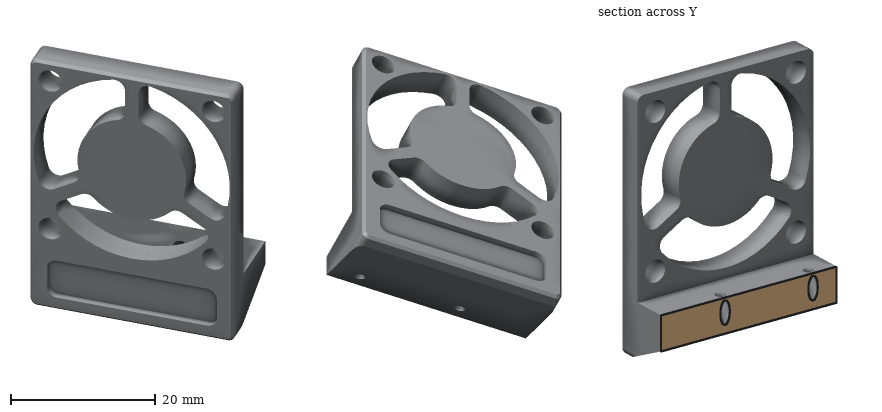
import cadquery as cq
import math

plate_width = 30.0
plate_height = 40.0
plate_thickness = 4.0
corner_radius = 1.0
front_chamfer = 0.4

foot_reach = 9.0
foot_top = 9.0
underside_angle = 25.0
part_depth = plate_thickness + foot_reach
foot_end_bottom = corner_radius + foot_reach * math.tan(math.radians(underside_angle))

fan_center_z = plate_height - plate_width / 2
fan_radius = 14.4
hub_radius = 8.0
spoke_width = 2.0
spoke_count = 3
window_fillet = 1.5

fan_hole_diameter = 3.4
fan_hole_spacing = 24.0

pocket_width = 25.0
pocket_height = 6.0
pocket_bottom = 2.0
pocket_depth = 1.0
pocket_radius = 1.5

mount_hole_diameter = 1.5
mount_hole_left_margin = 4.0
mount_hole_pitch = 15.0
mount_hole_setback = 4.7


def front_plane(center_z):
    """Sketch plane on the front face; its normal points out of the part, toward -Y."""
    return cq.Workplane("XZ", origin=(0, 0, center_z))


def make_plate():
    plate = front_plane(plate_height / 2).rect(plate_width, plate_height).extrude(-plate_thickness)
    plate = plate.edges("|Y").fillet(corner_radius)
    return plate.faces("<Y").edges().chamfer(front_chamfer)


def make_foot():
    profile = [
        (plate_thickness, corner_radius),
        (part_depth, foot_end_bottom),
        (part_depth, foot_top),
        (plate_thickness, foot_top),
    ]
    return cq.Workplane("YZ").polyline(profile).close().extrude(plate_width / 2, both=True)


def make_underside_cutter():
    """Wedge that carries the slope of the foot on through the lower edge of the plate."""
    slope_run = corner_radius / math.tan(math.radians(underside_angle))
    wedge = [
        (plate_thickness, 0),
        (plate_thickness, corner_radius),
        (plate_thickness - slope_run, 0),
    ]
    return cq.Workplane("YZ").polyline(wedge).close().extrude(plate_width / 2, both=True)


def make_windows():
    ring = front_plane(fan_center_z).circle(fan_radius).circle(hub_radius).extrude(-plate_thickness)
    spoke = (
        front_plane(fan_center_z)
        .center(0, fan_radius / 2)
        .rect(spoke_width, fan_radius)
        .extrude(-plate_thickness)
    )
    axis_start = (0, 0, fan_center_z)
    axis_end = (0, plate_thickness, fan_center_z)
    for index in range(spoke_count):
        ring = ring.cut(spoke.rotate(axis_start, axis_end, index * 360 / spoke_count))
    return ring.edges("|Y").fillet(window_fillet)


def make_fan_holes():
    return (
        front_plane(fan_center_z)
        .rect(fan_hole_spacing, fan_hole_spacing, forConstruction=True)
        .vertices()
        .circle(fan_hole_diameter / 2)
        .extrude(-plate_thickness)
    )


def make_pocket():
    pocket = (
        front_plane(pocket_bottom + pocket_height / 2)
        .rect(pocket_width, pocket_height)
        .extrude(-pocket_depth)
    )
    return pocket.edges("|Y").fillet(pocket_radius)


def make_mount_holes():
    hole_y = part_depth - mount_hole_setback
    first_x = mount_hole_left_margin - plate_width / 2
    angle = math.radians(underside_angle)
    axis = cq.Vector(0, math.sin(angle), -math.cos(angle))
    holes = cq.Workplane()
    for hole_x in (first_x, first_x + mount_hole_pitch):
        start = cq.Vector(hole_x, hole_y, foot_top) - axis * mount_hole_diameter
        hole = cq.Solid.makeCylinder(mount_hole_diameter / 2, part_depth, start, axis)
        holes = holes.add(hole)
    return holes.combine()


result = (
    make_plate()
    .cut(make_underside_cutter())
    .union(make_foot())
    .cut(make_windows())
    .cut(make_fan_holes())
    .cut(make_pocket())
    .cut(make_mount_holes())
)